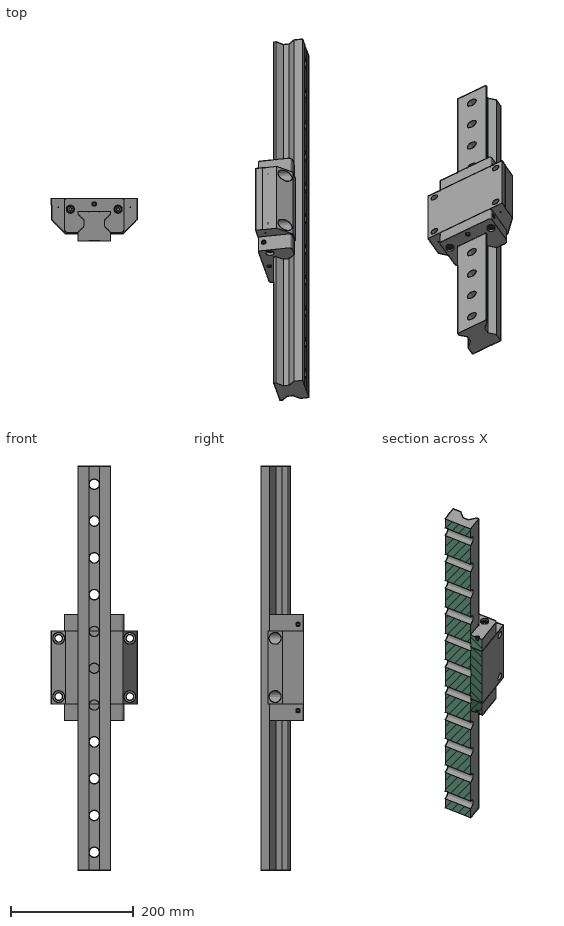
import cadquery as cq

RAIL_LENGTH = 658.0
RAIL_HEIGHT = 48.0
RAIL_HALF_WIDTH = 53.0 / 2
WAIST_HALF_WIDTH = 16.5
FOOT_HEIGHT = 14.5
WAIST_BOTTOM = 24.5
WAIST_TOP = 34.0
HEAD_BOTTOM = 44.0
GROOVE_HALF_WIDTH = 18.0 / 2
GROOVE_DEPTH = 0.3
RAIL_HOLE_COUNT = 11
RAIL_HOLE_PITCH = 60.0
RAIL_HOLE_DIAMETER = 16.5

CARRIAGE_TOP = 70.0
CARRIAGE_CENTER_Z = 1.0
BLOCK_LENGTH = 119.0
BLOCK_HALF_WIDTH = 140.0 / 2
BLOCK_BOTTOM = 12.0
BLOCK_BOTTOM_HALF_WIDTH = 47.0
FLANGE_BOTTOM = 35.5
RELIEF_TOP = 58.5
RELIEF_DEPTH = 0.5
MOUNT_SPACING_X = 116.0
MOUNT_SPACING_Z = 95.0
MOUNT_HOLE_DIAMETER = 12.0
SPOTFACE_DIAMETER = 19.0
SPOTFACE_SEAT = 49.5
PINHOLE_DIAMETER = 1.5
PINHOLE_X = 58.5
PINHOLE_HEIGHT = 55.0
PINHOLE_DEPTH = 3.0

CAP_LENGTH = 27.0
CAP_HALF_WIDTH = 49.0
CAP_BOTTOM = 14.0
CAP_BOTTOM_RADIUS = 6.5
CAP_TOP_RADIUS = 4.0
SCREW_X = 39.0
SCREW_HEIGHT = 52.0
SCREW_RECESS_DIAMETER = 13.0
SCREW_RECESS_DEPTH = 5.0
SCREW_HEAD_DIAMETER = 10.0
SCREW_HEAD_HEIGHT = 1.0
SCREW_SOCKET_DIAMETER = 4.95
PORT_DIAMETER = 7.0
PORT_DEPTH = 2.0
PORT_BORE_DIAMETER = 4.2
PORT_BORE_DEPTH = 6.5
PORT_HEIGHT = 60.5
SIDE_PORT_OFFSET = 10.5


def prism(right_side, length, z_center):
    """Extrude the mirrored outline whose +X side runs through the given points, bottom to top."""
    left_side = [(-x, y) for x, y in reversed(right_side)]
    outline = cq.Workplane("XY").polyline(right_side + left_side).close()
    return outline.extrude(length / 2, both=True).translate((0, 0, z_center))


def cylinder(diameter, start, direction, length):
    solid = cq.Solid.makeCylinder(diameter / 2, length, cq.Vector(*start), cq.Vector(*direction))
    return cq.Workplane(solid)


def rail_envelope():
    """Full rail section, which the carriage wraps without clearance."""
    return prism(
        [
            (RAIL_HALF_WIDTH, 0),
            (RAIL_HALF_WIDTH, FOOT_HEIGHT),
            (WAIST_HALF_WIDTH, WAIST_BOTTOM),
            (WAIST_HALF_WIDTH, WAIST_TOP),
            (RAIL_HALF_WIDTH, HEAD_BOTTOM),
            (RAIL_HALF_WIDTH, RAIL_HEIGHT),
        ],
        RAIL_LENGTH,
        0,
    )


def make_rail():
    rail = rail_envelope()
    groove = cq.Workplane("XY").box(2 * GROOVE_HALF_WIDTH, 2 * GROOVE_DEPTH, RAIL_LENGTH)
    rail = rail.cut(groove)
    for i in range(RAIL_HOLE_COUNT):
        z = (i - (RAIL_HOLE_COUNT - 1) / 2) * RAIL_HOLE_PITCH
        rail = rail.cut(cylinder(RAIL_HOLE_DIAMETER, (0, 0, z), (0, 1, 0), RAIL_HEIGHT))
    return rail


def block_blank():
    """Block outline with the flange undersides sloping inward to the bottom face."""
    return prism(
        [
            (BLOCK_BOTTOM_HALF_WIDTH, BLOCK_BOTTOM),
            (BLOCK_HALF_WIDTH, FLANGE_BOTTOM),
            (BLOCK_HALF_WIDTH, CARRIAGE_TOP),
        ],
        BLOCK_LENGTH,
        CARRIAGE_CENTER_Z,
    )


def side_relief():
    relief = cq.Workplane("XY").box(RELIEF_DEPTH, RELIEF_TOP, BLOCK_LENGTH, centered=(False, False, True))
    return relief.translate((-BLOCK_HALF_WIDTH, 0, CARRIAGE_CENTER_Z))


def mount_hole(side_x, side_z):
    base = (side_x * MOUNT_SPACING_X / 2, 0, CARRIAGE_CENTER_Z + side_z * MOUNT_SPACING_Z / 2)
    hole = cylinder(MOUNT_HOLE_DIAMETER, base, (0, 1, 0), CARRIAGE_TOP)
    return hole.union(cylinder(SPOTFACE_DIAMETER, base, (0, 1, 0), SPOTFACE_SEAT))


def pinhole(side_x, side_z):
    mouth = (side_x * PINHOLE_X, PINHOLE_HEIGHT, CARRIAGE_CENTER_Z + side_z * BLOCK_LENGTH / 2)
    return cylinder(PINHOLE_DIAMETER, mouth, (0, 0, -side_z), PINHOLE_DEPTH)


def make_block():
    block = block_blank().cut(rail_envelope()).cut(side_relief())
    for side_x in (-1, 1):
        for side_z in (-1, 1):
            block = block.cut(mount_hole(side_x, side_z))
            block = block.cut(pinhole(side_x, side_z))
    return block


def port(mouth, inward):
    bore = cylinder(PORT_BORE_DIAMETER, mouth, inward, PORT_BORE_DEPTH)
    return bore.union(cylinder(PORT_DIAMETER, mouth, inward, PORT_DEPTH))


def screw_recess(x, face_z, side):
    """Round recess around a screw head that stands on its floor and has a round socket."""
    floor = (x, SCREW_HEIGHT, face_z - side * SCREW_RECESS_DEPTH)
    outward = (0, 0, side)
    recess = cylinder(SCREW_RECESS_DIAMETER, floor, outward, SCREW_RECESS_DEPTH)
    head = cylinder(SCREW_HEAD_DIAMETER, floor, outward, SCREW_HEAD_HEIGHT)
    socket = cylinder(SCREW_SOCKET_DIAMETER, floor, outward, SCREW_HEAD_HEIGHT)
    return recess.cut(head).union(socket)


def make_cap(side):
    inner_z = CARRIAGE_CENTER_Z + side * BLOCK_LENGTH / 2
    outer_z = inner_z + side * CAP_LENGTH
    right_side = [(CAP_HALF_WIDTH, CAP_BOTTOM), (CAP_HALF_WIDTH, CARRIAGE_TOP)]
    cap = prism(right_side, CAP_LENGTH, (inner_z + outer_z) / 2)
    cap = cap.faces("<Y").edges("|Z").fillet(CAP_BOTTOM_RADIUS)
    cap = cap.faces(">Y").edges("|Z").fillet(CAP_TOP_RADIUS)
    cap = cap.cut(rail_envelope())

    cap = cap.cut(port((0, PORT_HEIGHT, outer_z), (0, 0, -side)))
    for side_x in (-1, 1):
        side_mouth = (side_x * CAP_HALF_WIDTH, PORT_HEIGHT, inner_z + side * SIDE_PORT_OFFSET)
        cap = cap.cut(port(side_mouth, (-side_x, 0, 0)))
        cap = cap.cut(screw_recess(side_x * SCREW_X, outer_z, side))
    return cap


rail = make_rail()
block = make_block()
caps = [make_cap(side) for side in (-1, 1)]
result = cq.Compound.makeCompound([rail.val(), block.val(), *[cap.val() for cap in caps]])